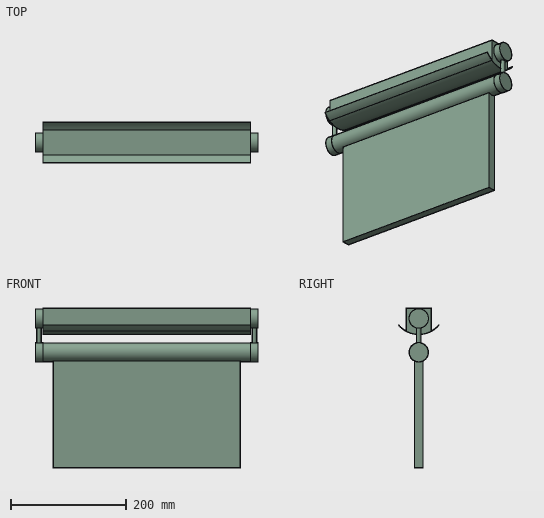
import cadquery as cq
import math

overall_length = 387.0
overall_height = 277.3
cap_length = 13.0
cap_diameter = 33.7
tube_diameter = 33.0
axis_spacing = 58.8
pin_diameter = 8.0

housing_width = 43.5
housing_top_above_axis = 18.0

shade_width = 70.59
shade_outer_radius = 45.8
shade_thickness = 0.6
shade_drop = 46.0

panel_width = 325.0
panel_thickness = 15.0

body_length = overall_length - 2 * cap_length
housing_top = axis_spacing + housing_top_above_axis
shade_bottom = housing_top - shade_drop
shade_center_z = shade_bottom + shade_outer_radius
shade_inner_radius = shade_outer_radius - shade_thickness
shade_half_angle = math.asin(shade_width / 2 / shade_outer_radius)
panel_bottom = housing_top - overall_height
cap_center_x = (body_length + cap_length) / 2


def cylinder_along_x(diameter, length, center_x, center_z):
    """Solid round bar parallel to X, centred on center_x."""
    return (
        cq.Workplane("YZ", origin=(center_x, 0, center_z))
        .circle(diameter / 2)
        .extrude(length / 2, both=True)
    )


def shade_point(radius, angle):
    """Point (Y, Z) on a shade arc, with the angle measured from straight down."""
    return (radius * math.sin(angle), shade_center_z - radius * math.cos(angle))


def make_shade():
    """Thin upward-curved sheet with radial edges, as long as the housing."""
    return (
        cq.Workplane("YZ")
        .moveTo(*shade_point(shade_outer_radius, -shade_half_angle))
        .threePointArc(
            shade_point(shade_outer_radius, 0),
            shade_point(shade_outer_radius, shade_half_angle),
        )
        .lineTo(*shade_point(shade_inner_radius, shade_half_angle))
        .threePointArc(
            shade_point(shade_inner_radius, 0),
            shade_point(shade_inner_radius, -shade_half_angle),
        )
        .close()
        .extrude(body_length / 2, both=True)
    )


def make_housing():
    """Flat-topped block whose underside follows the outer arc of the shade."""
    half_width = housing_width / 2
    edge_angle = math.asin(half_width / shade_outer_radius)
    return (
        cq.Workplane("YZ")
        .moveTo(-half_width, housing_top)
        .lineTo(*shade_point(shade_outer_radius, -edge_angle))
        .threePointArc(
            shade_point(shade_outer_radius, 0),
            shade_point(shade_outer_radius, edge_angle),
        )
        .lineTo(half_width, housing_top)
        .close()
        .extrude(body_length / 2, both=True)
    )


def make_panel():
    """Flat panel hanging from the tube axis."""
    return (
        cq.Workplane("XY", origin=(0, 0, panel_bottom))
        .rect(panel_width, panel_thickness)
        .extrude(-panel_bottom)
    )


def make_end(side):
    """Upper and lower end caps joined by a vertical pin; side is -1 or 1 along X."""
    upper_cap = cylinder_along_x(cap_diameter, cap_length, side * cap_center_x, axis_spacing)
    lower_cap = cylinder_along_x(cap_diameter, cap_length, side * cap_center_x, 0)
    pin = (
        cq.Workplane("XY", origin=(side * cap_center_x, 0, 0))
        .circle(pin_diameter / 2)
        .extrude(axis_spacing)
    )
    return upper_cap.union(lower_cap).union(pin)


result = make_housing().union(make_shade())
result = result.union(cylinder_along_x(tube_diameter, body_length, 0, 0))
result = result.union(make_panel())
for side in (-1, 1):
    result = result.union(make_end(side))